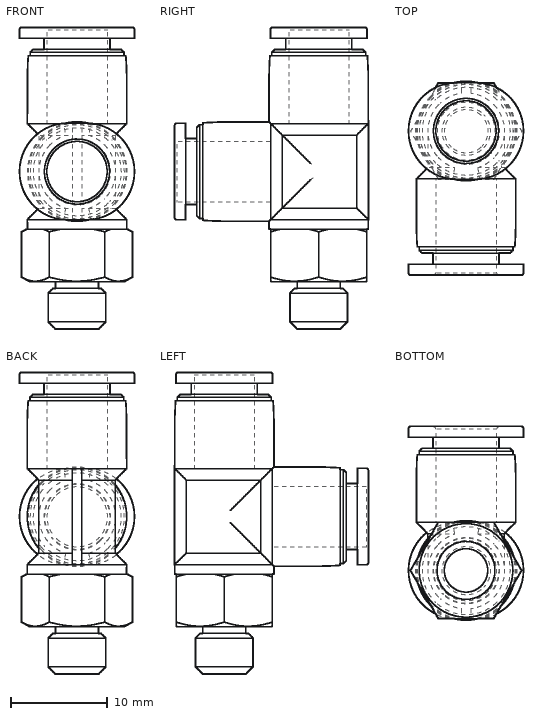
import cadquery as cq
import math


body_radius = 5.18
stem_radius = 4.0
shoulder_end = 5.0
shoulder_start = shoulder_end - (body_radius - stem_radius)
rib_thickness = 1.0

sleeve_end = 10.02
taper_end = 12.05
taper_end_radius = 5.1
collar_end = 12.72
collar_radius = 4.9
collar_chamfer = 0.3
neck_radius = 3.45
flange_start = 13.85
port_end = 15.0

flange_length = 12.0
flange_width = 10.08
flange_fillet = 0.25

bore_radius = 3.15
bore_chamfer = 0.25
bore_floor = shoulder_end

hex_top = -6.0
hex_bottom = -11.5
hex_across_flats = 10.02
hex_top_radius = 5.28
hex_bottom_radius = 4.87
hex_chamfer_slope = 0.55
relief_radius = 2.25
thread_radius = 3.0
thread_top = -12.15
thread_top_chamfer = 0.5
thread_bottom = -16.4
thread_bottom_chamfer = thread_radius - relief_radius


def revolve_about_z(profile):
    return profile.close().revolve(360, (0, 0, 0), (0, 1, 0))


def make_port():
    """Stem, shoulder, sleeve, collar and release flange, pointing up."""
    sleeve = revolve_about_z(
        cq.Workplane("XZ")
        .lineTo(stem_radius, 0)
        .lineTo(stem_radius, shoulder_start)
        .lineTo(body_radius, shoulder_end)
        .lineTo(body_radius, sleeve_end)
        .tangentArcPoint((taper_end_radius, taper_end), relative=False)
        .lineTo(collar_radius, taper_end)
        .lineTo(collar_radius, collar_end - collar_chamfer)
        .lineTo(collar_radius - collar_chamfer, collar_end)
        .lineTo(neck_radius, collar_end)
        .lineTo(neck_radius, flange_start)
        .lineTo(0, flange_start)
    )
    flange = (
        cq.Workplane("XY", origin=(0, 0, flange_start))
        .slot2D(flange_length, flange_width)
        .extrude(port_end - flange_start)
        .faces(">Z")
        .edges()
        .fillet(flange_fillet)
    )
    return sleeve.union(flange)


def make_bore():
    """Blind tube bore with a chamfered mouth, opening upwards."""
    return revolve_about_z(
        cq.Workplane("XZ")
        .moveTo(0, bore_floor)
        .lineTo(bore_radius, bore_floor)
        .lineTo(bore_radius, port_end - bore_chamfer)
        .lineTo(bore_radius + bore_chamfer, port_end)
        .lineTo(0, port_end)
    )


def to_branch(shape):
    """Turn a shape pointing up so that it points along -Y."""
    return shape.rotate((0, 0, 0), (1, 0, 0), 90)


def make_lower_stem():
    """Stem below the branch, widening to the collar that sits on the hexagon."""
    return revolve_about_z(
        cq.Workplane("XZ")
        .lineTo(stem_radius, 0)
        .lineTo(stem_radius, -shoulder_start)
        .lineTo(body_radius, -shoulder_end)
        .lineTo(body_radius, hex_top)
        .lineTo(0, hex_top)
    )


def make_rib():
    """Thin rib along the back of the stem, opposite the branch."""
    return cq.Workplane("XY").box(
        rib_thickness, body_radius, 2 * shoulder_end, centered=(True, False, True)
    )


def make_hexagon():
    """Hexagon with two flats facing +Y and -Y and its corners chamfered at both ends."""
    across_corners = hex_across_flats / math.cos(math.radians(30))
    prism = (
        cq.Workplane("XY", origin=(0, 0, hex_bottom))
        .polygon(6, across_corners)
        .extrude(hex_top - hex_bottom)
    )
    outer_radius = hex_across_flats
    top_drop = hex_chamfer_slope * (outer_radius - hex_top_radius)
    bottom_rise = hex_chamfer_slope * (outer_radius - hex_bottom_radius)
    envelope = revolve_about_z(
        cq.Workplane("XZ")
        .moveTo(0, hex_bottom)
        .lineTo(hex_bottom_radius, hex_bottom)
        .lineTo(outer_radius, hex_bottom + bottom_rise)
        .lineTo(outer_radius, hex_top - top_drop)
        .lineTo(hex_top_radius, hex_top)
        .lineTo(0, hex_top)
    )
    return prism.intersect(envelope)


def make_thread():
    """Plain threaded end with a relief groove under the hexagon."""
    return revolve_about_z(
        cq.Workplane("XZ")
        .moveTo(0, hex_bottom)
        .lineTo(relief_radius, hex_bottom)
        .lineTo(relief_radius, thread_top)
        .lineTo(thread_radius - thread_top_chamfer, thread_top)
        .lineTo(thread_radius, thread_top - thread_top_chamfer)
        .lineTo(thread_radius, thread_bottom + thread_bottom_chamfer)
        .lineTo(thread_radius - thread_bottom_chamfer, thread_bottom)
        .lineTo(0, thread_bottom)
    )


port = make_port()
bore = make_bore()
result = (
    port.union(to_branch(port))
    .union(make_lower_stem())
    .union(make_rib())
    .union(make_hexagon())
    .union(make_thread())
    .cut(bore)
    .cut(to_branch(bore))
)